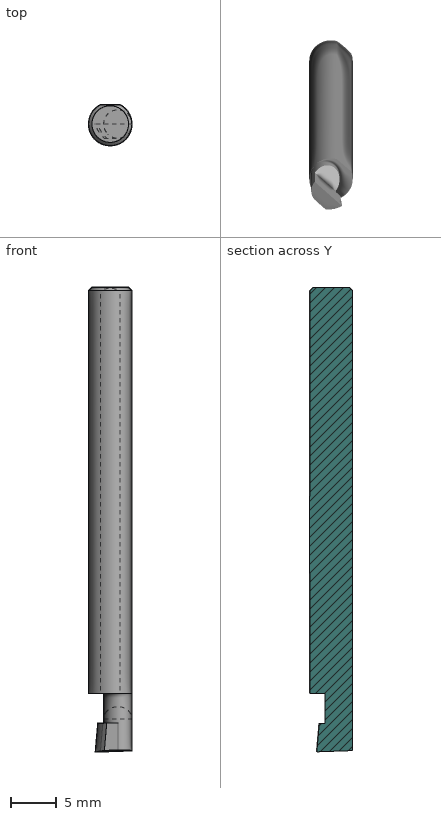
import cadquery as cq
import math

overall_length = 50.8

shank_diameter = 4.76
shank_radius = shank_diameter / 2
shank_depth_over_flat = 4.51
flat_y = shank_depth_over_flat - shank_radius
end_chamfer = 0.38
shoulder_z = 6.4

neck_radius = 1.55
neck_x = shank_radius - neck_radius

runout_start_z = 3.63
runout_angle = 41
runout_end_z = runout_start_z + neck_radius * math.tan(math.radians(runout_angle))

tip_x = -1.65
head_height = 3.18
side_taper_angle = 5
head_taper = head_height * math.tan(math.radians(side_taper_angle))
heel_y = -1.1
relief_width = 0.57
heel_x = tip_x + relief_width
heel_width = 0.42
relief_bulge = 0.06

end_relief_angle = 6
dish_angle = 2

cut_size = 20


def make_shank():
    shank = (
        cq.Workplane("XY", origin=(0, 0, shoulder_z))
        .circle(shank_radius)
        .extrude(overall_length - shoulder_z)
        .faces(">Z")
        .chamfer(end_chamfer)
    )
    flat_cut = cq.Workplane("XY").box(
        cut_size, cut_size, overall_length, centered=(True, False, False)
    )
    return shank.cut(flat_cut.translate((0, flat_y, 0)))


def make_neck():
    return cq.Workplane("XY").center(neck_x, 0).circle(neck_radius).extrude(shoulder_z)


def head_profile(workplane, shift):
    """Closed head outline, with the side relief and heel moved by shift along X."""
    return (
        workplane.moveTo(neck_x, 0)
        .lineTo(tip_x + shift, 0)
        .sagittaArc((heel_x + shift, heel_y), -relief_bulge)
        .lineTo(heel_x + heel_width + shift, -neck_radius)
        .lineTo(neck_x, -neck_radius)
        .close()
    )


def make_head():
    lower = head_profile(cq.Workplane("XY"), 0)
    both_ends = head_profile(lower.workplane(offset=head_height), head_taper)
    return both_ends.loft(ruled=True)


def make_rake_cut():
    """Everything on the +Y side of the rake face, up to the sloping run-out."""
    profile = [
        (0, -cut_size),
        (0, runout_start_z),
        (neck_radius, runout_end_z),
        (cut_size, runout_end_z),
        (cut_size, -cut_size),
    ]
    return cq.Workplane("YZ").polyline(profile).close().extrude(cut_size, both=True)


def make_end_cut():
    """Block below the end face, tilted about the tip of the cutting edge."""
    tip = (tip_x, 0, 0)
    block = cq.Workplane("XY").box(
        cut_size, cut_size, cut_size, centered=(True, True, False)
    )
    return (
        block.translate((tip_x, 0, -cut_size))
        .rotate(tip, (tip_x + 1, 0, 0), -end_relief_angle)
        .rotate(tip, (tip_x, 1, 0), -dish_angle)
    )


working_end = make_neck().union(make_head()).cut(make_rake_cut()).cut(make_end_cut())
result = make_shank().union(working_end)